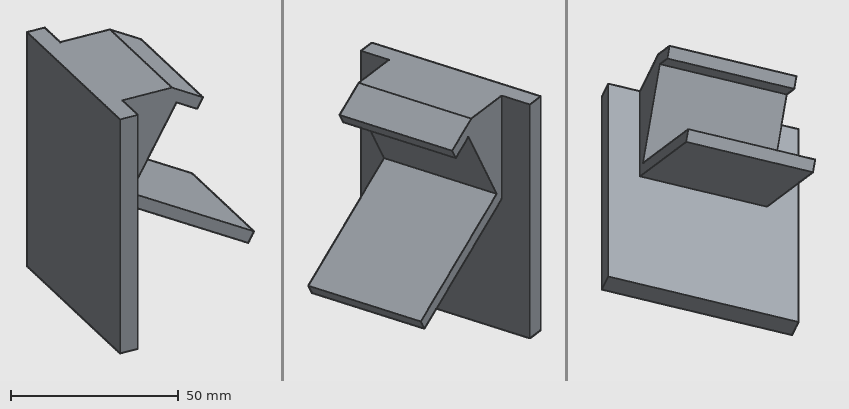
import cadquery as cq
import math

plate_width = 60
plate_thickness = 6.0
plate_height = 80

cradle_width = 40
tilt = math.radians(30)
wall = 4
arm_length = 48
seat_length = 31.0
lip_length = 8
cradle_reach = 50.3
seat_corner_drop = 32.3


def move(point, along=0, across=0):
    """Shift a (y, z) point down the slope and perpendicular to it, upward positive."""
    y, z = point
    return (
        y + along * math.cos(tilt) + across * math.sin(tilt),
        z - along * math.sin(tilt) + across * math.cos(tilt),
    )


def make_plate():
    return cq.Workplane("XY").box(
        plate_width, plate_thickness, plate_height, centered=(True, False, False)
    )


def make_cradle():
    arm_tip_top = (cradle_reach, plate_height - seat_corner_drop - arm_length * math.sin(tilt))
    arm_tip_bottom = move(arm_tip_top, across=-wall)
    seat_bottom = move(arm_tip_top, along=-arm_length)
    seat_top = move(seat_bottom, across=seat_length)
    lip_tip_inner = move(seat_top, along=lip_length)
    lip_tip_outer = move(lip_tip_inner, across=wall)

    underside_run = arm_tip_bottom[0] - plate_thickness
    arm_root = (plate_thickness, arm_tip_bottom[1] + underside_run * math.tan(tilt))
    lip_rise = plate_height - lip_tip_outer[1]
    lip_root = (lip_tip_outer[0] - lip_rise / math.tan(tilt), plate_height)

    outline = [
        (plate_thickness, plate_height),
        lip_root,
        lip_tip_outer,
        lip_tip_inner,
        seat_top,
        seat_bottom,
        arm_tip_top,
        arm_tip_bottom,
        arm_root,
    ]
    return cq.Workplane("YZ").polyline(outline).close().extrude(cradle_width / 2, both=True)


result = make_plate().union(make_cradle())